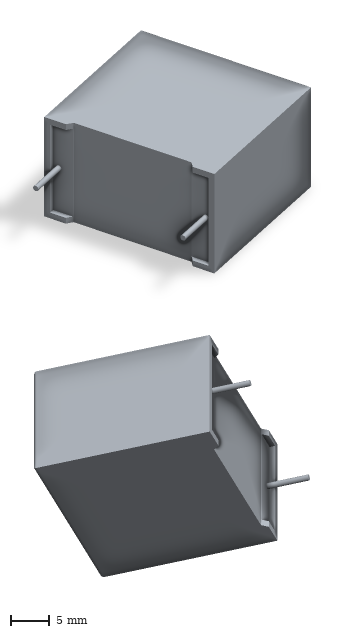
import cadquery as cq

case_width = 26.0
case_depth = 24.5
case_height = 15.5
rear_round = 0.5

channel_depth = 0.83
foot_width_at_root = 4.0
foot_width_at_tip = 3.3

wall = 0.9
pocket_depth = 0.75

lead_diameter = 0.8
lead_pitch = 22.5
lead_length = 5.0

side_signs = (-1, 1)


def make_lead(side):
    """Round lead standing on the pocket floor and pointing toward -Y."""
    return (
        cq.Workplane("XZ", origin=(side * lead_pitch / 2, pocket_depth, 0))
        .circle(lead_diameter / 2)
        .extrude(pocket_depth + lead_length)
    )


def make_channel():
    """Cutter for the shallow channel between the feet."""
    half_root = case_width / 2 - foot_width_at_root
    half_tip = case_width / 2 - foot_width_at_tip
    return (
        cq.Workplane("XY")
        .polyline([
            (-half_tip, 0),
            (half_tip, 0),
            (half_root, channel_depth),
            (-half_root, channel_depth),
        ])
        .close()
        .extrude(case_height / 2, both=True)
    )


def make_pocket(side):
    """Cutter for a foot pocket, open toward the channel."""
    pocket_width = foot_width_at_root - wall
    pocket_center = side * (case_width / 2 - wall - pocket_width / 2)
    return (
        cq.Workplane("XY")
        .box(pocket_width, pocket_depth, case_height - 2 * wall)
        .translate((pocket_center, pocket_depth / 2, 0))
    )


def make_case():
    """Box with a rounded closed end, a channel and two foot pockets."""
    case = (
        cq.Workplane("XY")
        .box(case_width, case_depth, case_height)
        .translate((0, case_depth / 2, 0))
        .faces(">Y").edges().fillet(rear_round)
        .cut(make_channel())
    )
    for side in side_signs:
        case = case.cut(make_pocket(side))
    return case


case = make_case()
leads = [make_lead(side) for side in side_signs]

result = cq.Compound.makeCompound([case.val(), *[lead.val() for lead in leads]])